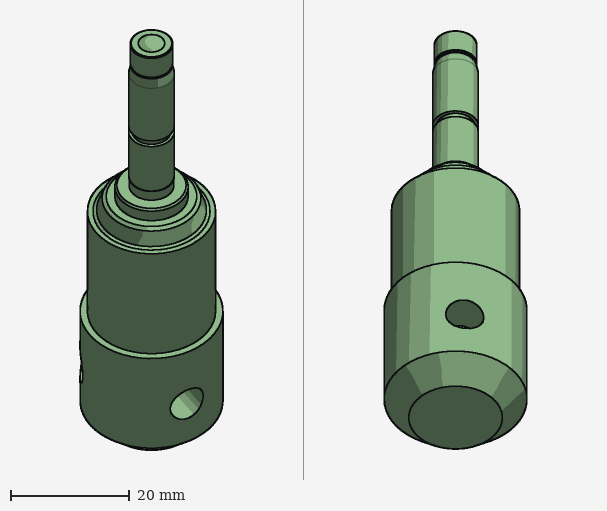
import cadquery as cq
import math

total_height = 85.85
base_bevel_top = 4.2
base_top = 24.5
barrel_top = 47.05
flare_top = 47.3
shoulder_edge = 50.0
shoulder_top = 50.4
collar_top = 52.9
seat_top = 54.95
groove_bottom = 65.1
groove_top = 66.4
taper_bottom = 78.3
taper_top = 80.1
head_bottom = 80.5
head_top = 85.0

base_radius = 12.06
base_foot_radius = 7.9
barrel_radius = 10.8
flare_radius = 9.9
shoulder_bottom_radius = 9.3
shoulder_edge_radius = 8.3
shoulder_flat_radius = 7.6
collar_radius = 6.2
rod_radius = 3.9
seat_radius = 3.8
groove_radius = 3.3
taper_top_radius = 3.5
neck_radius = 3.35
head_radius = 3.6
dome_radius = 2.2

collar_chamfer = 0.35
head_chamfer = 0.2

hole_count = 3
hole_diameter = 6.4
hole_height = 12.7
hole_floor_radius = 5.6
first_hole_angle = 90


def make_turned_body():
    """Revolve the half outline, given as radius and height, about Z."""
    dome_height = total_height - head_top
    dome_sphere_radius = (dome_radius**2 + dome_height**2) / (2 * dome_height)
    dome_mid_radius = dome_radius / 2
    dome_mid_height = (
        total_height - dome_sphere_radius
        + math.sqrt(dome_sphere_radius**2 - dome_mid_radius**2)
    )
    return (
        cq.Workplane("XZ")
        .moveTo(0, 0)
        .lineTo(base_foot_radius, 0)
        .lineTo(base_radius, base_bevel_top)
        .lineTo(base_radius, base_top)
        .lineTo(barrel_radius, base_top)
        .lineTo(barrel_radius, barrel_top)
        .lineTo(flare_radius, barrel_top)
        .lineTo(shoulder_bottom_radius, flare_top)
        .lineTo(shoulder_edge_radius, shoulder_edge)
        .lineTo(shoulder_flat_radius, shoulder_top)
        .lineTo(collar_radius, shoulder_top)
        .lineTo(collar_radius, collar_top - collar_chamfer)
        .lineTo(collar_radius - collar_chamfer, collar_top)
        .lineTo(seat_radius, collar_top)
        .lineTo(seat_radius, seat_top)
        .lineTo(rod_radius, seat_top)
        .lineTo(rod_radius, groove_bottom)
        .lineTo(groove_radius, groove_bottom)
        .lineTo(groove_radius, groove_top)
        .lineTo(rod_radius, groove_top)
        .lineTo(rod_radius, taper_bottom)
        .lineTo(taper_top_radius, taper_top)
        .lineTo(neck_radius, taper_top)
        .lineTo(neck_radius, head_bottom)
        .lineTo(head_radius, head_bottom)
        .lineTo(head_radius, head_top - head_chamfer)
        .lineTo(head_radius - head_chamfer, head_top)
        .lineTo(dome_radius, head_top)
        .threePointArc((dome_mid_radius, dome_mid_height), (0, total_height))
        .close()
        .revolve(360, (0, 0), (0, 1))
    )


def make_hole_cutter(angle):
    """Cylinder running outward from the hole floor in the given direction."""
    return (
        cq.Workplane("YZ", origin=(hole_floor_radius, 0, hole_height))
        .circle(hole_diameter / 2)
        .extrude(base_radius)
        .rotate((0, 0, 0), (0, 0, 1), angle)
    )


result = make_turned_body()
for hole_index in range(hole_count):
    hole_angle = first_hole_angle + hole_index * 360 / hole_count
    result = result.cut(make_hole_cutter(hole_angle))